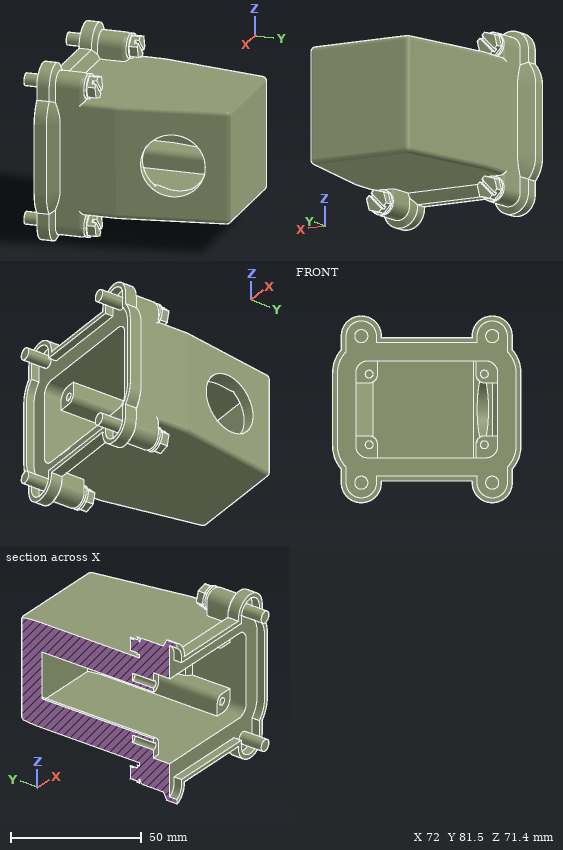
import cadquery as cq
import math

FLANGE_X = 72.0
FLANGE_Z = 54.8
FLANGE_CORNER_R = 13.4
FLANGE_THICKNESS = 5.0
LOBE_R = 7.7
SKIRT_ANGLE = 30.0
RIM_WIDTH = 1.9
RIM_DEPTH = 3.5

BODY_X = 60.0
BODY_Z = 46.0
BODY_TOP = 74.45
KINK_Y = 31.0
LEAN_ANGLE = 10.0
EDGE_R = 2.0

SCREW_X = 25.0
SCREW_Z = 28.0
PILLAR_R = BODY_X / 2 - SCREW_X
PILLAR_TOP = 18.0
PIN_D = 5.0
PIN_LENGTH = 7.0
COLLAR_D = 9.8
COLLAR_HEIGHT = 1.0
HEX_FLATS = 8.0
HEX_HEIGHT = 3.4
HEX_HALF_ANGLE = 30.0
HEX_TURN = 15.0
SLOT_TURN = HEX_TURN + HEX_HALF_ANGLE
SLOT_WIDTH = 1.3
SLOT_DEPTH = 1.6

CAVITY_X = 54.2
CAVITY_Z = 37.0
CAVITY_CORNER_R = 4.5
CAVITY_TOP = 72.0
CAVITY_KINK_Y = 35.2
RAMP_START_Y = 29.0
RAMP_STEP = 2.0
RAMP_END_Y = RAMP_START_Y + RAMP_STEP

POST_X = 22.0
POST_Z = 13.5
POST_INNER_X = 18.85
POST_INNER_Z = 10.1
POST_CORNER_R = 3.2
POST_FACE_Y = 11.2
POST_ROOT = 1.0
POST_HOLE_D = 3.0
POST_HOLE_DEPTH = 10.0

CABLE_HOLE_D = 25.0
CABLE_HOLE_Y = (KINK_Y + BODY_TOP) / 2
CABLE_HOLE_REACH = 10.0

LEAN = math.tan(math.radians(LEAN_ANGLE))


def plane_at(y):
    """Sketch plane facing +Y at height y; its local y axis points to -Z."""
    return cq.Workplane("XZ", origin=(0, y, 0)).workplane(invert=True)


def turned(shape, degrees):
    """Turn about the Y axis, counted from +X towards +Z."""
    return shape.rotate((0, 0, 0), (0, 1, 0), -degrees)


def rounded_box(size_x, size_z, radius, start, end):
    box = plane_at(start).rect(size_x, size_z).extrude(end - start)
    return box.edges("|Y").fillet(radius)


def slot(x, radius, start, end):
    """Slot along Z whose end centers are the screw axes."""
    outline = plane_at(start).center(x, 0).slot2D(2 * (SCREW_Z + radius), 2 * radius, 90)
    return outline.extrude(end - start)


def rod(diameter, x, z, start, end):
    return plane_at(start).circle(diameter / 2).extrude(end - start).translate((x, 0, z))


def flange_solid(inset, start, end):
    plate = rounded_box(
        FLANGE_X - 2 * inset, FLANGE_Z - 2 * inset, FLANGE_CORNER_R - inset, start, end
    )
    for x in (-SCREW_X, SCREW_X):
        plate = plate.union(slot(x, LOBE_R - inset, start, end))
    return plate


def flange():
    """Plate and lobes, each with a sloping skirt on top."""
    run = (FLANGE_X - BODY_X) / 2
    rise = run * math.tan(math.radians(SKIRT_ANGLE))
    top = FLANGE_THICKNESS + rise
    plate = rounded_box(FLANGE_X, FLANGE_Z, FLANGE_CORNER_R, 0, top)
    solid = plate.faces(">Y").chamfer(rise, run)
    for x in (-SCREW_X, SCREW_X):
        lobe = slot(x, LOBE_R, 0, top)
        solid = solid.union(lobe.faces(">Y").chamfer(rise, run))
    return solid


def body():
    half = BODY_X / 2
    half_top = half - (BODY_TOP - KINK_Y) * LEAN
    profile = [
        (-half, 0),
        (half, 0),
        (half, KINK_Y),
        (half_top, BODY_TOP),
        (-half_top, BODY_TOP),
        (-half, KINK_Y),
    ]
    block = cq.Workplane("XY").polyline(profile).close().extrude(BODY_Z / 2, both=True)
    return block.faces("not <Y").edges("not <Y").fillet(EDGE_R)


def pillars(x):
    """A Z-long slot whose round ends stand out of the body as two screw pillars."""
    return slot(x, PILLAR_R, 0, PILLAR_TOP).faces(">Y").edges().fillet(EDGE_R)


def cavity():
    half = CAVITY_X / 2
    slope_height = CAVITY_TOP - CAVITY_KINK_Y
    left_top = -half + slope_height * LEAN
    thick_x = half - RAMP_STEP
    right_top = thick_x - (CAVITY_TOP - RAMP_END_Y) * LEAN
    profile = [
        (-half, 0),
        (half, 0),
        (half, RAMP_START_Y),
        (thick_x, RAMP_END_Y),
        (right_top, CAVITY_TOP),
        (left_top, CAVITY_TOP),
        (-half, CAVITY_KINK_Y),
    ]
    sides = cq.Workplane("XY").polyline(profile).close().extrude(CAVITY_Z / 2, both=True)
    return sides.intersect(rounded_box(CAVITY_X, CAVITY_Z, CAVITY_CORNER_R, 0, CAVITY_TOP))


def post(side_x, side_z):
    """Insert mounting post in one corner of the cavity, reaching to the cavity end."""
    size_x = CAVITY_X / 2 + POST_ROOT - POST_INNER_X
    size_z = CAVITY_Z / 2 + POST_ROOT - POST_INNER_Z
    center_x = side_x * (POST_INNER_X + size_x / 2)
    center_z = side_z * (POST_INNER_Z + size_z / 2)
    length = CAVITY_TOP - POST_FACE_Y
    block = plane_at(POST_FACE_Y).rect(size_x, size_z).extrude(length)
    block = block.translate((center_x, 0, center_z))
    inner_edge = cq.selectors.NearestToPointSelector(
        (side_x * POST_INNER_X, POST_FACE_Y + length / 2, side_z * POST_INNER_Z)
    )
    return block.edges("|Y").edges(inner_edge).fillet(POST_CORNER_R)


def hollow():
    """Everything removed from inside the hood: cavity around the posts, and the post holes."""
    space = cavity()
    hole_end = POST_FACE_Y + POST_HOLE_DEPTH
    for side_x in (-1, 1):
        for side_z in (-1, 1):
            space = space.cut(post(side_x, side_z))
            space = space.union(
                rod(POST_HOLE_D, side_x * POST_X, side_z * POST_Z, POST_FACE_Y, hole_end)
            )
    return space


def cable_hole():
    """Cylinder square to the leaning +X wall."""
    angle = math.radians(LEAN_ANGLE)
    outward = cq.Vector(math.cos(angle), math.sin(angle), 0)
    center = cq.Vector(BODY_X / 2 - (CABLE_HOLE_Y - KINK_Y) * LEAN, CABLE_HOLE_Y, 0)
    inner_end = center - outward * CABLE_HOLE_REACH
    cutter = cq.Solid.makeCylinder(CABLE_HOLE_D / 2, 2 * CABLE_HOLE_REACH, inner_end, outward)
    return cq.Workplane(cutter)


def screw(x, z):
    """Slotted hexagon screw: pin, collar and head."""
    collar_top = PILLAR_TOP + COLLAR_HEIGHT
    head_top = collar_top + HEX_HEIGHT
    corner_d = HEX_FLATS / math.cos(math.radians(HEX_HALF_ANGLE))
    head = plane_at(collar_top).polygon(6, corner_d).extrude(HEX_HEIGHT)
    head = turned(head, HEX_TURN)
    groove = plane_at(head_top - SLOT_DEPTH).rect(2 * corner_d, SLOT_WIDTH).extrude(SLOT_DEPTH)
    head = head.cut(turned(groove, SLOT_TURN))
    shank = rod(PIN_D, 0, 0, -PIN_LENGTH, collar_top)
    collar = rod(COLLAR_D, 0, 0, PILLAR_TOP, collar_top)
    return shank.union(collar).union(head).translate((x, 0, z))


shell = flange().union(body())
for x in (-SCREW_X, SCREW_X):
    shell = shell.union(pillars(x))
shell = shell.cut(flange_solid(RIM_WIDTH, 0, RIM_DEPTH))

result = shell.cut(hollow()).cut(cable_hole())
for x in (-SCREW_X, SCREW_X):
    for z in (-SCREW_Z, SCREW_Z):
        result = result.union(screw(x, z))